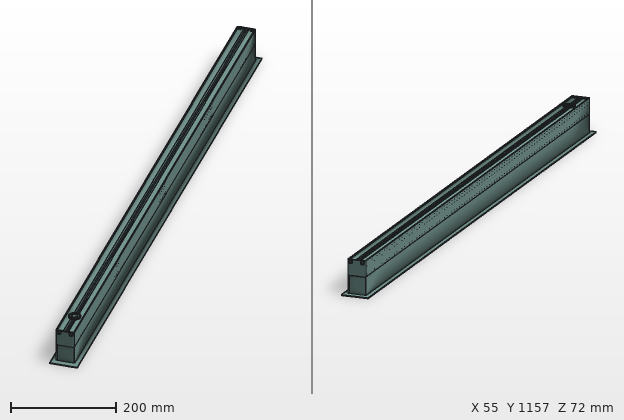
import cadquery as cq

flange_width = 55.0
flange_length = 1157.0
flange_thickness = 2.0
outer_width = 37.0
body_length = 1132.0
wall = 2.0
housing_top = 39.0

profile_top = 71.0
channel_floor = 69.0
cavity_ceiling = 47.5
cavity_corner_chamfer = 5.0
groove_width = 10.0
groove_floor = 68.0
slot_width = 3.5
slot_floor = 50.5
upper_chamber_bottom = 58.5
upper_chamber_top = 65.0
lower_chamber_x = 10.5
lower_chamber_width = 3.5
lower_chamber_bottom = 51.5
lower_chamber_top = 57.0
chamber_web = 2.0

cap_thickness = 3.5
cap_corner_radius = 3.0

screw_x = 12.2
screw_z = 66.9
screw_head_diameter = 8.0
screw_head_height = 1.5
screw_shank_diameter = 4.5
screw_length = 6.0

gland_end_distance = 69.7
gland_ring_diameters = (24.0, 20.0)
gland_ring_height = 1.5
gland_bore_diameter = 13.5
gland_bore_depth = 2.0

inner_width = outer_width - 2 * wall
outer_end = body_length / 2 + cap_thickness


def block(width, length, bottom, top, x=0, y=0):
    size = (width, length, top - bottom)
    return cq.Workplane("XY", origin=(x, y, bottom)).box(*size, centered=(True, True, False))


def make_housing():
    flange = block(flange_width, flange_length, 0, flange_thickness)
    tube = block(outer_width, body_length, 0, housing_top)
    cavity = block(inner_width, body_length - 2 * wall, 0, housing_top)
    return flange.union(tube).cut(cavity)


def make_profile():
    profile = block(outer_width, body_length, housing_top, profile_top)
    cavity = block(inner_width, body_length, housing_top, cavity_ceiling)
    profile = profile.cut(cavity.edges("|Y and >Z").chamfer(cavity_corner_chamfer))
    profile = profile.cut(block(inner_width, body_length, channel_floor, profile_top))
    profile = profile.cut(block(groove_width, body_length, groove_floor, channel_floor))
    profile = profile.cut(block(slot_width, body_length, slot_floor, groove_floor))
    chamber_width = (inner_width - slot_width) / 2 - chamber_web
    upper_x = (inner_width - chamber_width) / 2
    for side in (-1, 1):
        upper_chamber = block(
            chamber_width, body_length, upper_chamber_bottom, upper_chamber_top, x=side * upper_x
        )
        lower_chamber = block(
            lower_chamber_width, body_length, lower_chamber_bottom, lower_chamber_top, x=side * lower_chamber_x
        )
        profile = profile.cut(upper_chamber).cut(lower_chamber)
    return profile


def make_cap(side):
    y = side * (outer_end - cap_thickness / 2)
    cap = block(outer_width, cap_thickness, housing_top, profile_top, y=y)
    outer_corners = cap.faces(">Y" if side > 0 else "<Y").edges("|Z")
    return outer_corners.fillet(cap_corner_radius)


def make_screw(x, side):
    face = cq.Workplane("XZ", origin=(x, side * outer_end, screw_z))
    head = face.circle(screw_head_diameter / 2).extrude(side * screw_head_height)
    shank = face.circle(screw_shank_diameter / 2).extrude(side * screw_length)
    return head.union(shank)


def make_gland():
    y = gland_end_distance - flange_length / 2
    gland = cq.Workplane("XY", origin=(0, y, channel_floor))
    for diameter in gland_ring_diameters:
        gland = gland.circle(diameter / 2).extrude(gland_ring_height).faces(">Z").workplane()
    return gland.circle(gland_bore_diameter / 2).cutBlind(-gland_bore_depth)


housing = make_housing()
profile = make_profile()
gland = make_gland()
caps = []
screws = []
for side in (-1, 1):
    cap = make_cap(side)
    for x in (-screw_x, screw_x):
        screw = make_screw(x, side)
        cap = cap.cut(screw)
        profile = profile.cut(screw)
        screws.append(screw.val())
    caps.append(cap.val())

result = cq.Compound.makeCompound([housing.val(), profile.val(), gland.val(), *caps, *screws])